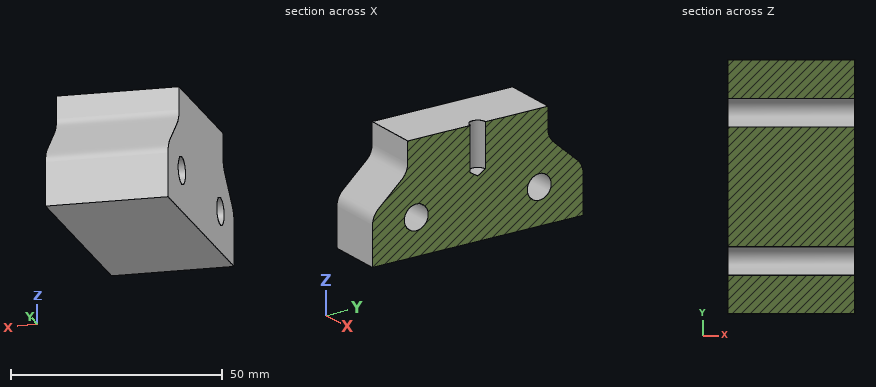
import cadquery as cq
import math

width = 30.0
length = 60.0
height = 30.0

top_length = 40.0
slope_bottom = 13.0
slope_top = 22.0
shoulder_radius = 5.0

cross_hole_diameter = 6.65
cross_hole_spacing = 35.0
cross_hole_height = 10.0

top_hole_diameter = 4.2
top_hole_depth = 12.0
drill_point_angle = 118.0


def make_body():
    """Extrude the symmetric YZ profile along X and round the shoulder corners."""
    half_length = length / 2
    half_top = top_length / 2
    right_side = [
        (half_length, 0),
        (half_length, slope_bottom),
        (half_top, slope_top),
        (half_top, height),
    ]
    left_side = [(-y, z) for y, z in reversed(right_side)]
    body = (
        cq.Workplane("YZ")
        .polyline(right_side + left_side)
        .close()
        .extrude(width / 2, both=True)
    )
    shoulder_corners = [
        (0, side * y, z)
        for side in (-1, 1)
        for y, z in ((half_length, slope_bottom), (half_top, slope_top))
    ]
    for corner in shoulder_corners:
        edge = cq.selectors.NearestToPointSelector(corner)
        body = body.edges(edge).fillet(shoulder_radius)
    return body


def make_cross_holes():
    """Cylinders running through the full width."""
    half_spacing = cross_hole_spacing / 2
    return (
        cq.Workplane("YZ")
        .pushPoints([(-half_spacing, cross_hole_height), (half_spacing, cross_hole_height)])
        .circle(cross_hole_diameter / 2)
        .extrude(width / 2, both=True)
    )


def make_top_hole():
    """Drill shape with a conical point, sunk from the top face."""
    radius = top_hole_diameter / 2
    point_depth = radius / math.tan(math.radians(drill_point_angle / 2))
    cylinder_bottom = height - top_hole_depth
    return (
        cq.Workplane("XZ")
        .moveTo(0, height)
        .lineTo(radius, height)
        .lineTo(radius, cylinder_bottom)
        .lineTo(0, cylinder_bottom - point_depth)
        .close()
        .revolve(360, (0, 0), (0, 1))
    )


result = make_body().cut(make_cross_holes()).cut(make_top_hole())